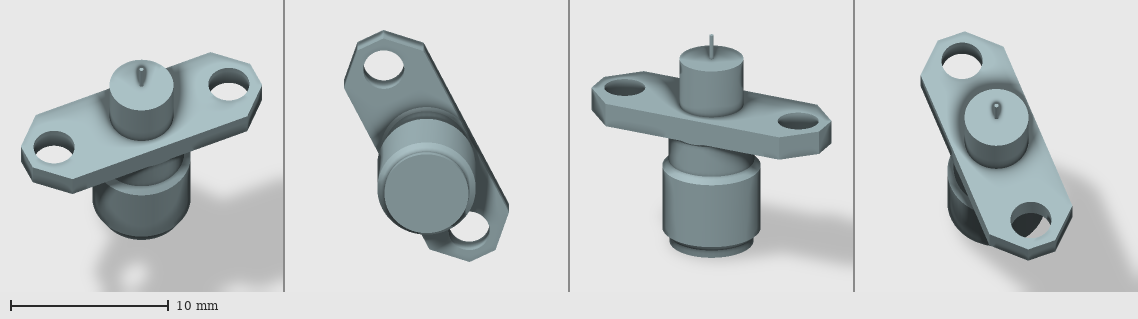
import cadquery as cq

flange_length = 15.99
flange_width = 5.65
flange_bottom = 7.93
flange_top = 9.48
corner_cut = 1.9
hole_diameter = 2.6
hole_offset = 6.1

tip_radius = 2.67
body_radius = 3.126
neck_radius = 2.72
collar_radius = 2.93
tip_height = 0.51
lower_bevel_top = 0.95
upper_bevel_bottom = 5.25
neck_bottom = 5.66
neck_top = 7.7

barrel_radius = 2.03
barrel_top = 12.66
pin_radius = 0.13
total_height = 14.3


def cylinder(radius, bottom, top):
    """Upright cylinder on the Z axis."""
    return cq.Workplane("XY").workplane(offset=bottom).circle(radius).extrude(top - bottom)


def make_flange():
    """Plate with cut corners and two mounting holes along Y."""
    return (
        cq.Workplane("XY")
        .workplane(offset=flange_bottom)
        .rect(flange_width, flange_length)
        .extrude(flange_top - flange_bottom)
        .edges("|Z")
        .chamfer(corner_cut)
        .faces(">Z")
        .workplane(origin=(0, 0, flange_top))
        .pushPoints([(0, -hole_offset), (0, hole_offset)])
        .hole(hole_diameter)
    )


def make_body():
    """Turned body with bevelled shoulders, as a half profile revolved about Z."""
    profile = [
        (0, 0),
        (tip_radius, 0),
        (tip_radius, tip_height),
        (body_radius, lower_bevel_top),
        (body_radius, upper_bevel_bottom),
        (neck_radius, neck_bottom),
        (neck_radius, neck_top),
        (collar_radius, flange_bottom),
        (0, flange_bottom),
    ]
    body = cq.Workplane("XZ").polyline(profile).close().revolve(360, (0, 0), (0, 1))
    side_width = body_radius
    for side in (-1, 1):
        side_block = (
            cq.Workplane("XY")
            .workplane(offset=neck_top)
            .center(side * (flange_width + side_width) / 2, 0)
            .rect(side_width, 2 * body_radius)
            .extrude(flange_bottom - neck_top)
        )
        body = body.cut(side_block)
    return body


barrel = cylinder(barrel_radius, flange_top, barrel_top)
pin = cylinder(pin_radius, barrel_top, total_height)
result = make_body().union(make_flange()).union(barrel).union(pin)